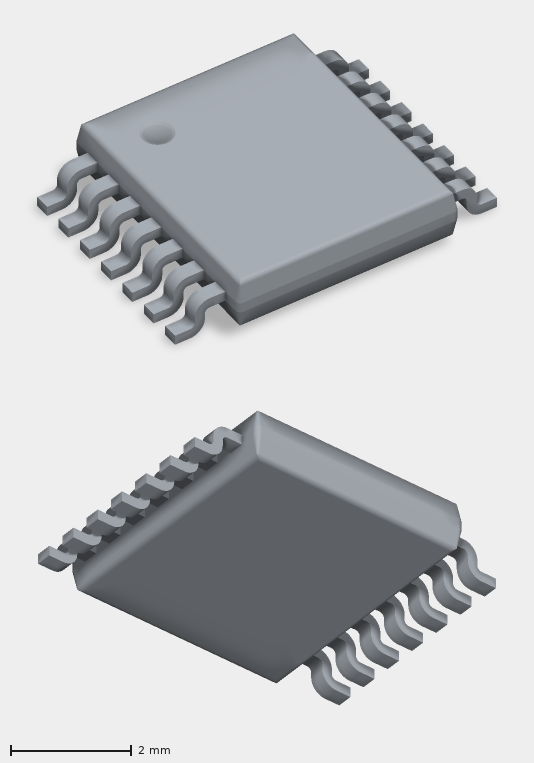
import cadquery as cq
import math

BODY_LENGTH = 5.0
BODY_WIDTH = 4.4
BODY_BOTTOM = 0.1
BODY_TOP = 1.1
DRAFT_ANGLE = 12.0
CORNER_RADIUS = 0.1
RIM_RADIUS = 0.1

LEADS_PER_SIDE = 7
LEAD_PITCH = 0.65
LEAD_WIDTH = 0.3
LEAD_THICKNESS = 0.2
LEAD_TOP = 0.7
LEAD_SPAN = 6.4
FOOT_FLAT = 0.3
INNER_BEND = 0.095
LEAD_EMBED = 0.3

DIMPLE_RADIUS = 0.3
DIMPLE_DEPTH = 0.1
DIMPLE_EDGE_OFFSET = 1.0

OUTER_BEND = INNER_BEND + LEAD_THICKNESS
LEAD_TIP = LEAD_SPAN / 2
SHOULDER_BOTTOM = LEAD_TOP - LEAD_THICKNESS
BAND_BOTTOM = SHOULDER_BOTTOM
BAND_TOP = LEAD_TOP


def frustum(base_z, height, corner_radius):
    """Drafted half of the body, growing up (or down, for a negative height) from base_z."""
    outline = cq.Sketch().rect(BODY_LENGTH, BODY_WIDTH)
    if corner_radius:
        outline = outline.vertices().fillet(corner_radius)
    return cq.Workplane("XY", origin=(0, 0, base_z)).placeSketch(outline).extrude(height, taper=DRAFT_ANGLE)


def body_half(base_z, height):
    """Drafted half with rounded corners and a rounded rim around its end face."""
    end_face = ">Z" if height > 0 else "<Z"
    rimmed = frustum(base_z, height, 0).faces(end_face).edges().fillet(RIM_RADIUS)
    return rimmed.intersect(frustum(base_z, height, CORNER_RADIUS))


def make_body():
    band = (
        cq.Workplane("XY", origin=(0, 0, BAND_BOTTOM))
        .rect(BODY_LENGTH, BODY_WIDTH)
        .extrude(BAND_TOP - BAND_BOTTOM)
        .edges("|Z")
        .fillet(CORNER_RADIUS)
    )
    upper = body_half(BAND_TOP, BODY_TOP - BAND_TOP)
    lower = body_half(BAND_BOTTOM, BODY_BOTTOM - BAND_BOTTOM)
    return band.union(upper).union(lower)


def make_dimple():
    """Ball whose lower cap sinks into the top face."""
    ball_radius = (DIMPLE_RADIUS**2 + DIMPLE_DEPTH**2) / (2 * DIMPLE_DEPTH)
    center = (
        -BODY_LENGTH / 2 + DIMPLE_EDGE_OFFSET,
        -BODY_WIDTH / 2 + DIMPLE_EDGE_OFFSET,
        BODY_TOP - DIMPLE_DEPTH + ball_radius,
    )
    return cq.Workplane("XY").sphere(ball_radius).translate(center)


def make_lead():
    """One lead on the +Y side, centred on X = 0."""
    root = BODY_WIDTH / 2 - LEAD_EMBED
    foot_bend_y = LEAD_TIP - FOOT_FLAT
    foot_bend_z = LEAD_THICKNESS + INNER_BEND
    riser_outside = foot_bend_y - INNER_BEND
    riser_inside = riser_outside - LEAD_THICKNESS
    shoulder_bend_y = riser_outside - OUTER_BEND
    shoulder_bend_z = LEAD_TOP - OUTER_BEND
    diagonal = math.sqrt(0.5)

    def on_arc(center_y, center_z, radius, side):
        """Midpoint of a quarter bend; side is +1 towards +Y+Z and -1 towards -Y-Z."""
        offset = side * radius * diagonal
        return (center_y + offset, center_z + offset)

    shoulder_bend = (shoulder_bend_y, shoulder_bend_z)
    foot_bend = (foot_bend_y, foot_bend_z)
    return (
        cq.Workplane("YZ")
        .moveTo(root, LEAD_TOP)
        .lineTo(shoulder_bend_y, LEAD_TOP)
        .threePointArc(on_arc(*shoulder_bend, OUTER_BEND, 1), (riser_outside, shoulder_bend_z))
        .lineTo(riser_outside, foot_bend_z)
        .threePointArc(on_arc(*foot_bend, INNER_BEND, -1), (foot_bend_y, LEAD_THICKNESS))
        .lineTo(LEAD_TIP, LEAD_THICKNESS)
        .lineTo(LEAD_TIP, 0)
        .lineTo(foot_bend_y, 0)
        .threePointArc(on_arc(*foot_bend, OUTER_BEND, -1), (riser_inside, foot_bend_z))
        .lineTo(riser_inside, shoulder_bend_z)
        .threePointArc(on_arc(*shoulder_bend, INNER_BEND, 1), (shoulder_bend_y, SHOULDER_BOTTOM))
        .lineTo(root, SHOULDER_BOTTOM)
        .close()
        .extrude(LEAD_WIDTH / 2, both=True)
    )


result = make_body().cut(make_dimple())
lead = make_lead()
opposite_lead = lead.mirror("XZ")
for index in range(LEADS_PER_SIDE):
    lead_x = (index - (LEADS_PER_SIDE - 1) / 2) * LEAD_PITCH
    result = result.union(lead.translate((lead_x, 0, 0)))
    result = result.union(opposite_lead.translate((lead_x, 0, 0)))